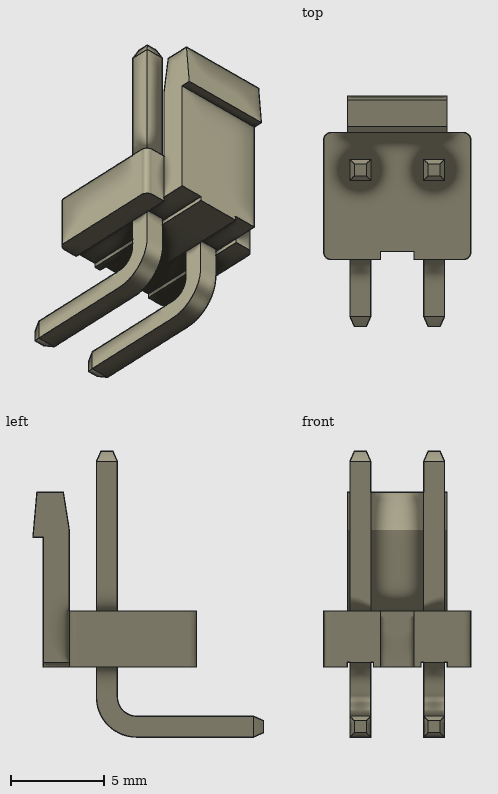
import cadquery as cq


pin_pitch = 3.97
pin_width = 1.14
pin_top = 11.6
pin_bottom = -3.77
foot_end = -8.42
bend_inner_radius = 1.03
tip_length = 0.55
tip_width = 0.65

base_width = 7.92
base_height = 3.03
base_front = -4.83
base_back = 2.01
corner_radius = 0.41
notch_width = 1.78
notch_depth = 0.43

latch_back = 3.43
hook_back = 3.98
hook_height = 6.98
latch_top = 9.4
latch_top_front = 2.34
latch_top_back = 3.77
lead_in_height = 7.36

channel_width = 1.4
channel_depth = 0.26
latch_width = pin_pitch + channel_width

half_pin = pin_width / 2
bend_outer_radius = bend_inner_radius + pin_width
bend_center_y = half_pin - bend_outer_radius
bend_center_z = pin_bottom + bend_outer_radius
foot_center_z = pin_bottom + half_pin
pin_positions = (-pin_pitch / 2, pin_pitch / 2)


def make_base():
    """Block with rounded upright corners and a keying notch in its front face."""
    depth = base_back - base_front
    block = (
        cq.Workplane("XY")
        .box(base_width, depth, base_height, centered=(True, False, False))
        .translate((0, base_front, 0))
        .edges("|Z")
        .fillet(corner_radius)
    )
    notch = (
        cq.Workplane("XY")
        .box(notch_width, notch_depth, base_height, centered=(True, False, False))
        .translate((0, base_front, 0))
    )
    return block.cut(notch)


def make_latch():
    """Wall on the back of the base, with a sloped lead-in and a hook facing backwards."""
    return (
        cq.Workplane("YZ")
        .moveTo(base_back, 0)
        .lineTo(latch_back, 0)
        .lineTo(latch_back, hook_height)
        .lineTo(hook_back, hook_height)
        .lineTo(latch_top_back, latch_top)
        .lineTo(latch_top_front, latch_top)
        .lineTo(base_back, lead_in_height)
        .close()
        .extrude(latch_width / 2, both=True)
    )


def make_channel(x):
    """Shallow channel along Y under the base and latch, in line with one pin."""
    length = latch_back - base_front
    return (
        cq.Workplane("XY")
        .box(channel_width, length, channel_depth, centered=(True, False, False))
        .translate((x, base_front, 0))
    )


def make_pin_hole(x):
    """Square through hole that one pin fills."""
    return (
        cq.Workplane("XY")
        .rect(pin_width, pin_width)
        .extrude(base_height)
        .translate((x, 0, 0))
    )


def make_housing():
    housing = make_base().union(make_latch())
    for x in pin_positions:
        housing = housing.cut(make_channel(x))
        housing = housing.cut(make_pin_hole(x))
    return housing


def make_tip(start_plane):
    """Tapered square pin end growing along the normal of the given plane."""
    return (
        cq.Workplane(start_plane)
        .rect(pin_width, pin_width)
        .workplane(offset=tip_length)
        .rect(tip_width, tip_width)
        .loft(ruled=True)
    )


def make_pin(x):
    """Square pin bent forwards through a right angle, with both ends tapered."""
    top_shoulder = pin_top - tip_length
    foot_shoulder = foot_end + tip_length
    path = (
        cq.Workplane("YZ")
        .moveTo(0, top_shoulder)
        .lineTo(0, bend_center_z)
        .radiusArc((bend_center_y, foot_center_z), bend_inner_radius + half_pin)
        .lineTo(foot_shoulder, foot_center_z)
    )
    shaft = (
        cq.Workplane("XY", origin=(0, 0, top_shoulder))
        .rect(pin_width, pin_width)
        .sweep(path)
    )
    top_tip = make_tip(cq.Plane((0, 0, top_shoulder), (1, 0, 0), (0, 0, 1)))
    foot_tip = make_tip(cq.Plane((0, foot_shoulder, foot_center_z), (1, 0, 0), (0, -1, 0)))
    return shaft.union(top_tip).union(foot_tip).translate((x, 0, 0))


housing = make_housing()
pins = [make_pin(x) for x in pin_positions]

pin_solids = [solid for pin in pins for solid in pin.solids().vals()]

result = cq.Compound.makeCompound([*housing.solids().vals(), *pin_solids])